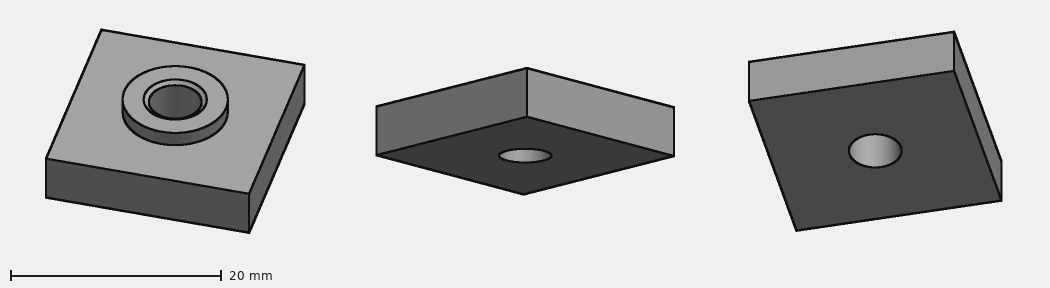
import cadquery as cq

plate_side = 20.0
plate_height = 4.8
boss_diameter = 10.0
boss_height = 1.5
hole_diameter = 5.0
chamfer_width = 0.5
chamfer_depth = 0.3

total_height = plate_height + boss_height

plate = cq.Workplane("XY").box(plate_side, plate_side, plate_height, centered=(True, True, False))

boss = cq.Workplane("XY").workplane(offset=plate_height).circle(boss_diameter / 2).extrude(boss_height)

hole = cq.Workplane("XY").circle(hole_diameter / 2).extrude(total_height)
mouth = (
    cq.Workplane("XY")
    .workplane(offset=total_height - chamfer_depth)
    .circle(hole_diameter / 2)
    .workplane(offset=chamfer_depth)
    .circle(hole_diameter / 2 + chamfer_width)
    .loft(ruled=True)
)

result = plate.union(boss).cut(hole).cut(mouth)